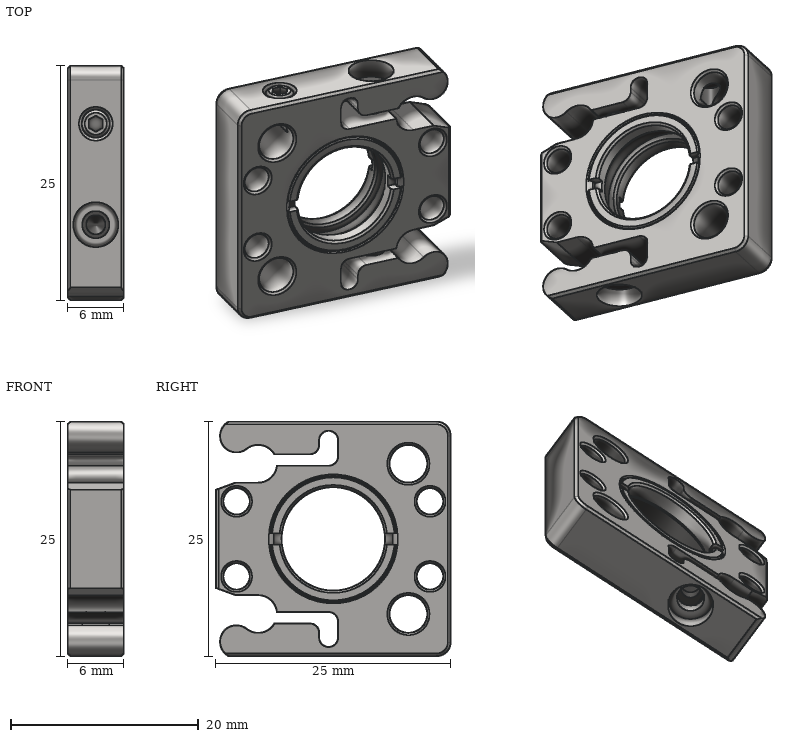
import cadquery as cq
import math

THICKNESS = 6.0
SIDE = 25.0
EDGE_CHAMFER = 0.3
CORNER_RADIUS = 1.5

ROD_DIAMETER = 4.0
ROD_OFFSET = 8.0
MOUNT_HOLE_DIAMETER = 2.8
MOUNT_HOLE_Y = 10.3
MOUNT_HOLE_Z = 4.0
HOLE_CHAMFER = 0.25

SLOT_INNER_Z = 7.8
SLOT_OUTER_Z = 9.0
RELIEF_WIDTH = 2.0
RELIEF_Y = -0.5
RELIEF_TOP_Z = 11.5
SLOT_CORNER_RADIUS = 1.0

TIP_RADIUS = 1.75
TIP_Y = -10.32

NOSE_TAPER_Y = -10.4
NOSE_TAPER_ANGLE = 20.0

CLAMP_Y = -4.45
COUNTERBORE_DIAMETER = 4.8
COUNTERBORE_DEPTH = 2.0
CLEARANCE_DIAMETER = 2.9
TAP_DIAMETER = 2.05
TAP_DEPTH = 1.5
DRILL_POINT_ANGLE = 118.0

BORE_DIAMETER = 12.7
BORE_MOUTH_DIAMETER = 13.75
RING_OUTER_DIAMETER = 13.59
RING_INNER_DIAMETER = 11.0
RING_LENGTH = 1.9
RING_OUTER_CHAMFER = 0.25
RING_INNER_CHAMFER = 0.25
RING_SLOT_WIDTH = 1.25
RING_SLOT_DEPTH = 1.0

SET_SCREW_Y = 6.3
SET_SCREW_DIAMETER = 3.0
SET_SCREW_LENGTH = 2.0
SET_SCREW_CHAMFER = 0.33
SET_SCREW_CORE_DIAMETER = 2.5
SET_SCREW_MOUTH_DIAMETER = 3.6
HEX_ACROSS_FLATS = 1.5
HEX_DEPTH = 1.0

HALF_THICKNESS = THICKNESS / 2
HALF_SIDE = SIDE / 2
ROD_RADIUS = ROD_DIAMETER / 2
TIP_Z = ROD_OFFSET + math.sqrt((ROD_RADIUS + TIP_RADIUS) ** 2 - (TIP_Y + ROD_OFFSET) ** 2)


def x_cylinder(diameter, length, y=0.0, z=0.0):
    """Cylinder along +X, starting on the -X face."""
    return cq.Workplane("YZ", origin=(-HALF_THICKNESS, y, z)).circle(diameter / 2).extrude(length)


def z_cylinder(diameter, z_bottom, z_top, y):
    """Cylinder along Z on the middle plane X = 0."""
    return cq.Workplane("XY", origin=(0, y, z_bottom)).circle(diameter / 2).extrude(z_top - z_bottom)


def mirrored_z(shape):
    """Copy of a shape reflected to the other side of Z = 0."""
    return shape.mirror("XY")


def cone_frustum(start_radius, end_radius, height, start, direction):
    """Cone or frustum running from its start centre along a direction."""
    return cq.Workplane(obj=cq.Solid.makeCone(start_radius, end_radius, height, start, direction))


def chamfered_through_hole(diameter, mouth_diameter, y=0.0, z=0.0):
    """Cutter along X with a 45 degree countersink at both faces."""
    cutter = x_cylinder(diameter, THICKNESS, y, z)
    depth = (mouth_diameter - diameter) / 2
    for side in (-1, 1):
        mouth = cq.Vector(side * HALF_THICKNESS, y, z)
        inward = cq.Vector(-side, 0, 0)
        cutter = cutter.union(cone_frustum(mouth_diameter / 2, diameter / 2, depth, mouth, inward))
    return cutter


def make_block():
    """Square plate with rounded rear corners and chamfered outer edges."""
    block = cq.Workplane("XY").box(THICKNESS, SIDE, SIDE)
    block = block.edges("|X and >Y").fillet(CORNER_RADIUS)
    return block.faces("<X or >X").edges().chamfer(EDGE_CHAMFER)


def arm_gap():
    """Upper gap between clamp arm and central block, cut through along X."""
    relief_rear = RELIEF_Y + RELIEF_WIDTH / 2
    relief_front = RELIEF_Y - RELIEF_WIDTH / 2
    relief_round_z = RELIEF_TOP_Z - RELIEF_WIDTH / 2
    radius = SLOT_CORNER_RADIUS
    diagonal = radius * math.sqrt(0.5)
    inner_dz = SLOT_INNER_Z - ROD_OFFSET
    inner_end = (-ROD_OFFSET + math.sqrt(ROD_RADIUS ** 2 - inner_dz ** 2), SLOT_INNER_Z)
    outer_dz = SLOT_OUTER_Z - ROD_OFFSET
    outer_end = (-ROD_OFFSET + math.sqrt(ROD_RADIUS ** 2 - outer_dz ** 2), SLOT_OUTER_Z)

    share = ROD_RADIUS / (ROD_RADIUS + TIP_RADIUS)
    tangent = (-ROD_OFFSET + share * (TIP_Y + ROD_OFFSET), ROD_OFFSET + share * (TIP_Z - ROD_OFFSET))
    seat_top = (-ROD_OFFSET, ROD_OFFSET + ROD_RADIUS)
    tip_front = (TIP_Y - TIP_RADIUS, TIP_Z)
    tip_end = (TIP_Y - math.sqrt(TIP_RADIUS ** 2 - (HALF_SIDE - TIP_Z) ** 2), HALF_SIDE)

    seat_bottom_z = ROD_OFFSET - ROD_RADIUS
    seat_low = (-ROD_OFFSET + ROD_RADIUS * math.sqrt(0.5), ROD_OFFSET - ROD_RADIUS * math.sqrt(0.5))
    nose_z = seat_bottom_z - (HALF_SIDE + NOSE_TAPER_Y) * math.tan(math.radians(NOSE_TAPER_ANGLE))

    profile = (
        cq.Workplane("YZ", origin=(-HALF_THICKNESS, 0, 0))
        .moveTo(-HALF_SIDE, nose_z)
        .lineTo(NOSE_TAPER_Y, seat_bottom_z)
        .lineTo(-ROD_OFFSET, seat_bottom_z)
        .threePointArc(seat_low, inner_end)
        .lineTo(relief_rear - radius, SLOT_INNER_Z)
        .threePointArc(
            (relief_rear - radius + diagonal, SLOT_INNER_Z + radius - diagonal),
            (relief_rear, SLOT_INNER_Z + radius),
        )
        .lineTo(relief_rear, relief_round_z)
        .threePointArc((RELIEF_Y, RELIEF_TOP_Z), (relief_front, relief_round_z))
        .lineTo(relief_front, SLOT_OUTER_Z + radius)
        .threePointArc(
            (relief_front - radius + diagonal, SLOT_OUTER_Z + radius - diagonal),
            (relief_front - radius, SLOT_OUTER_Z),
        )
        .lineTo(*outer_end)
        .threePointArc(seat_top, tangent)
        .threePointArc(tip_front, tip_end)
        .lineTo(-HALF_SIDE, HALF_SIDE)
        .close()
    )
    return profile.extrude(THICKNESS)


def clamp_screw_hole():
    """Counterbore and clearance hole in the upper arm, blind tapped hole below it."""
    tap_bottom = SLOT_INNER_Z - TAP_DEPTH
    point_depth = TAP_DIAMETER / 2 / math.tan(math.radians(DRILL_POINT_ANGLE / 2))
    point = cone_frustum(
        TAP_DIAMETER / 2, 0, point_depth, cq.Vector(0, CLAMP_Y, tap_bottom), cq.Vector(0, 0, -1)
    )
    return (
        z_cylinder(COUNTERBORE_DIAMETER, HALF_SIDE - COUNTERBORE_DEPTH, HALF_SIDE, CLAMP_Y)
        .union(z_cylinder(CLEARANCE_DIAMETER, SLOT_OUTER_Z, HALF_SIDE, CLAMP_Y))
        .union(z_cylinder(TAP_DIAMETER, tap_bottom, SLOT_OUTER_Z, CLAMP_Y))
        .union(point)
    )


def set_screw_hole():
    """Countersunk hole from the top face into the upper rod hole."""
    mouth_radius = SET_SCREW_MOUTH_DIAMETER / 2
    core_radius = SET_SCREW_CORE_DIAMETER / 2
    mouth = cone_frustum(
        mouth_radius, core_radius, mouth_radius - core_radius,
        cq.Vector(0, SET_SCREW_Y, HALF_SIDE), cq.Vector(0, 0, -1),
    )
    return z_cylinder(SET_SCREW_CORE_DIAMETER, ROD_OFFSET, HALF_SIDE, SET_SCREW_Y).union(mouth)


def make_retaining_ring():
    """Ring flush with the -X face; its drive slots open to that face."""
    ring = x_cylinder(RING_OUTER_DIAMETER, RING_LENGTH).faces("<X or >X").edges().chamfer(RING_OUTER_CHAMFER)
    opening = x_cylinder(RING_INNER_DIAMETER, RING_LENGTH)
    mouth_radius = RING_INNER_DIAMETER / 2 + RING_INNER_CHAMFER
    for x, direction in ((-HALF_THICKNESS, 1), (RING_LENGTH - HALF_THICKNESS, -1)):
        opening = opening.union(cone_frustum(
            mouth_radius, RING_INNER_DIAMETER / 2, RING_INNER_CHAMFER,
            cq.Vector(x, 0, 0), cq.Vector(direction, 0, 0),
        ))
    slot = cq.Workplane("XY").box(RING_SLOT_DEPTH, SIDE, RING_SLOT_WIDTH, centered=(False, True, True))
    return ring.cut(opening).cut(slot.translate((-HALF_THICKNESS, 0, 0)))


def make_set_screw():
    """Headless screw, flush with the top face, with a hexagon socket."""
    screw = z_cylinder(SET_SCREW_DIAMETER, HALF_SIDE - SET_SCREW_LENGTH, HALF_SIDE, SET_SCREW_Y)
    screw = screw.faces("<Z or >Z").edges().chamfer(SET_SCREW_CHAMFER)
    hex_across_corners = HEX_ACROSS_FLATS / math.cos(math.radians(30))
    socket = (
        cq.Workplane("XY", origin=(0, SET_SCREW_Y, HALF_SIDE))
        .transformed(rotate=(0, 0, 90))
        .polygon(6, hex_across_corners)
        .extrude(-HEX_DEPTH)
    )
    return screw.cut(socket)


def make_housing(inserts):
    """Clamp plate; the threaded inserts cut their own seats into it."""
    housing = make_block()
    housing = housing.cut(chamfered_through_hole(BORE_DIAMETER, BORE_MOUTH_DIAMETER))
    for gap in (arm_gap(), mirrored_z(arm_gap())):
        housing = housing.cut(gap)
    for z in (-ROD_OFFSET, ROD_OFFSET):
        rod_mouth = ROD_DIAMETER + 2 * HOLE_CHAMFER
        housing = housing.cut(chamfered_through_hole(ROD_DIAMETER, rod_mouth, ROD_OFFSET, z))
    for y in (-MOUNT_HOLE_Y, MOUNT_HOLE_Y):
        for z in (-MOUNT_HOLE_Z, MOUNT_HOLE_Z):
            mount_mouth = MOUNT_HOLE_DIAMETER + 2 * HOLE_CHAMFER
            housing = housing.cut(chamfered_through_hole(MOUNT_HOLE_DIAMETER, mount_mouth, y, z))
    for hole in (clamp_screw_hole(), mirrored_z(clamp_screw_hole())):
        housing = housing.cut(hole)
    housing = housing.cut(set_screw_hole())
    for insert in inserts:
        housing = housing.cut(insert)
    return housing


set_screw = make_set_screw()
retaining_rings = []
for turn in (0, 180):
    retaining_rings.append(make_retaining_ring().rotate((0, 0, 0), (0, 0, 1), turn))
housing = make_housing([set_screw, *retaining_rings])

result = cq.Compound.makeCompound([
    housing.solids().val(),
    *[ring.solids().val() for ring in retaining_rings],
    set_screw.solids().val(),
])